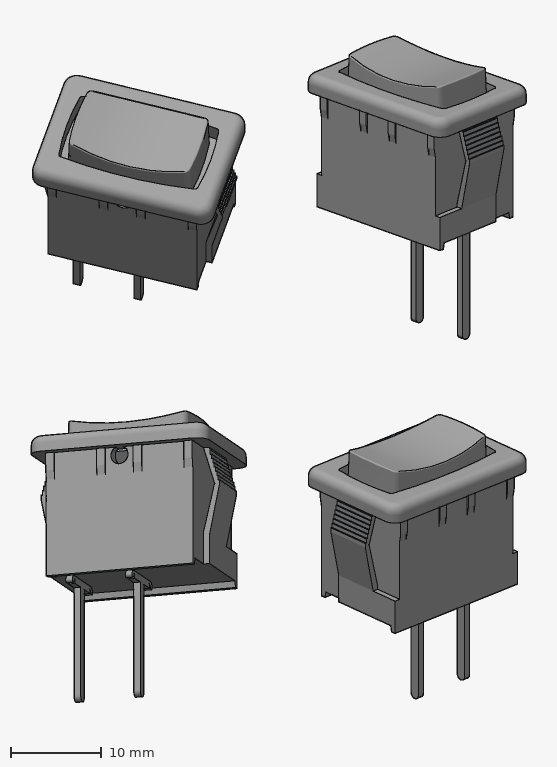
import cadquery as cq
import math


OVERALL_HEIGHT = 31.2

BEZEL_X = 20.8
BEZEL_Y = 14.8
BEZEL_HEIGHT = 2.0
BEZEL_CORNER_RADIUS = 1.5
BEZEL_EDGE_RADIUS = 1.0

WELL_HALF_X = 8.3
WELL_HALF_Y = 4.87
WELL_CORNER_X = 7.95
WELL_CORNER_Y = 4.27
WELL_CORNER_RADIUS = 0.4

ROCKER_HALF_X = 7.3
ROCKER_HALF_Y = 4.6
ROCKER_CORNER_X = 7.02
ROCKER_CORNER_Y = 3.95
ROCKER_CORNER_RADIUS = 0.7
ROCKER_DRAFT = 1.6
ROCKER_EDGE_RADIUS = 0.15
ROCKER_TOP = 4.27
ROCKER_DIP = 0.97

BODY_X = 17.2
BODY_Y = 12.6
BODY_BOTTOM = -13.23
FOOT_HEIGHT = 0.72
FOOT_TIP = 0.55
FOOT_ROOT = 0.72

RIB_WIDTH = 1.0
RIB_DEPTH = 0.2
RIB_STRAIGHT = 2.0
RIB_LENGTH = 3.0
INNER_RIB_X = 2.15

RECESS_DIAMETER = 2.0
RECESS_Z = -0.9
RECESS_DEPTH = 0.95
RECESS_SLOPE_TOP = -0.25

CLIP_WIDTH = 5.55
PLATE_THICKNESS = 0.7
PLATE_TOP = -9.98
CLIP_TOP_X = 9.27
CLIP_SPAN_X = 20.95
CLIP_INNER_PEAK_X = 9.9
CLIP_INNER_PEAK_Z = -4.15
CLIP_INNER_BOTTOM_Z = -9.58
STEP_COUNT = 8
STEP_START = -0.28
STEP_HEIGHT = 0.5
STEP_RUN = 0.15

TERMINAL_XS = (-7.0, 0)
TERMINAL_THICKNESS = 0.78
PIN_WIDTH = 1.2
SHOULDER_WIDTH = 4.85
SHOULDER_BOTTOM = -14.07
WING_WIDTH = 0.6
WING_ROOT = (2.15, -12.8)
WING_TIP = (3.03, -13.8)

OVERLAP = 0.62

body_half_x = BODY_X / 2
body_half_y = BODY_Y / 2
feet_bottom = BODY_BOTTOM - FOOT_HEIGHT


def block(x0, x1, y0, y1, z0, z1):
    return cq.Workplane("XY").box(x1 - x0, y1 - y0, z1 - z0, centered=False).translate((x0, y0, z0))


def along_x(points, x0, x1):
    """Extrude a closed (y, z) outline from x0 to x1."""
    return cq.Workplane("YZ").workplane(offset=x0).polyline(points).close().extrude(x1 - x0)


def along_y(points, y0, y1):
    """Extrude a closed (x, z) outline from y0 to y1."""
    return cq.Workplane("XZ").workplane(offset=-y1).polyline(points).close().extrude(y1 - y0)


def barrel_outline(half_x, half_y, corner_x, corner_y):
    """Rectangle with four outward bowed sides, drawn at Z = 0."""
    return (
        cq.Workplane("XY")
        .moveTo(-corner_x, -corner_y)
        .threePointArc((0, -half_y), (corner_x, -corner_y))
        .threePointArc((half_x, 0), (corner_x, corner_y))
        .threePointArc((0, half_y), (-corner_x, corner_y))
        .threePointArc((-half_x, 0), (-corner_x, -corner_y))
        .close()
    )


def make_bezel():
    plate = block(-BEZEL_X / 2, BEZEL_X / 2, -BEZEL_Y / 2, BEZEL_Y / 2, 0, BEZEL_HEIGHT)
    plate = plate.edges("|Z").fillet(BEZEL_CORNER_RADIUS).faces(">Z").edges().fillet(BEZEL_EDGE_RADIUS)
    well = barrel_outline(WELL_HALF_X, WELL_HALF_Y, WELL_CORNER_X, WELL_CORNER_Y).extrude(BEZEL_HEIGHT)
    return plate.cut(well.edges("|Z").fillet(WELL_CORNER_RADIUS))


def make_rocker():
    outline = barrel_outline(ROCKER_HALF_X, ROCKER_HALF_Y, ROCKER_CORNER_X, ROCKER_CORNER_Y)
    rocker = outline.extrude(ROCKER_TOP + OVERLAP, taper=ROCKER_DRAFT)
    rocker = rocker.edges("not(<Z or >Z)").fillet(ROCKER_CORNER_RADIUS)
    end_x = ROCKER_HALF_X - ROCKER_TOP * math.tan(math.radians(ROCKER_DRAFT))
    dish_radius = (end_x**2 + ROCKER_DIP**2) / (2 * ROCKER_DIP)
    dish = (
        cq.Workplane("XZ")
        .center(0, ROCKER_TOP - ROCKER_DIP + dish_radius)
        .circle(dish_radius)
        .extrude(BODY_Y, both=True)
    )
    rocker = rocker.cut(dish)
    thumb_face = rocker.faces(cq.NearestToPointSelector((0, 0, ROCKER_TOP - ROCKER_DIP)))
    return thumb_face.edges().fillet(ROCKER_EDGE_RADIUS)


def make_housing():
    housing = block(-body_half_x, body_half_x, -body_half_y, body_half_y, BODY_BOTTOM, 0)
    for side in (-1, 1):
        foot = [
            (side * body_half_y, BODY_BOTTOM + OVERLAP),
            (side * body_half_y, feet_bottom),
            (side * (body_half_y - FOOT_TIP), feet_bottom),
            (side * (body_half_y - FOOT_ROOT), BODY_BOTTOM),
            (side * (body_half_y - FOOT_ROOT), BODY_BOTTOM + OVERLAP),
        ]
        half_length = body_half_x + (PLATE_THICKNESS if side > 0 else 0)
        housing = housing.union(along_x(foot, -half_length, half_length))
    return housing


def make_ribs():
    ribs = cq.Workplane("XY")
    outer_rib_x = body_half_x - RIB_WIDTH / 2
    for side in (-1, 1):
        profile = [
            (side * (body_half_y - OVERLAP), 0),
            (side * (body_half_y + RIB_DEPTH), 0),
            (side * (body_half_y + RIB_DEPTH), -RIB_STRAIGHT),
            (side * body_half_y, -RIB_LENGTH),
            (side * (body_half_y - OVERLAP), -RIB_LENGTH),
        ]
        for x in (-outer_rib_x, -INNER_RIB_X, INNER_RIB_X, outer_rib_x):
            ribs = ribs.union(along_x(profile, x - RIB_WIDTH / 2, x + RIB_WIDTH / 2))
    return ribs


def make_recess():
    slope_depth = RECESS_DIAMETER
    floor_y = -body_half_y + RECESS_DEPTH
    radius = RECESS_DIAMETER / 2
    hole = (
        cq.Workplane("XZ", origin=(0, -body_half_y, RECESS_Z))
        .circle(radius)
        .extrude(-RECESS_DEPTH - slope_depth)
    )
    side_profile = [
        (-body_half_y, 0),
        (floor_y, 0),
        (floor_y, RECESS_SLOPE_TOP),
        (floor_y + slope_depth, RECESS_SLOPE_TOP - slope_depth),
        (-body_half_y, RECESS_SLOPE_TOP - slope_depth),
    ]
    return hole.intersect(along_x(side_profile, -radius, radius))


def make_clip():
    """Spring clip and plate on the +X side."""
    root_x = body_half_x - OVERLAP
    plate_x = body_half_x + PLATE_THICKNESS
    outline = [(body_half_x, 0), (CLIP_TOP_X, 0)]
    for step in range(STEP_COUNT):
        face_x = CLIP_SPAN_X / 2 - (STEP_COUNT - 1 - step) * STEP_RUN
        step_top = STEP_START - step * STEP_HEIGHT
        outline += [(face_x, step_top), (face_x, step_top - STEP_HEIGHT)]
    outline += [
        (plate_x, PLATE_TOP),
        (body_half_x, PLATE_TOP),
        (body_half_x, CLIP_INNER_BOTTOM_Z),
        (CLIP_INNER_PEAK_X, CLIP_INNER_PEAK_Z),
    ]
    spring = along_y(outline, -CLIP_WIDTH / 2, CLIP_WIDTH / 2)
    plate = block(root_x, plate_x, -CLIP_WIDTH / 2, body_half_y, BODY_BOTTOM, PLATE_TOP)
    return spring.union(plate)


def make_terminal(x, bottom):
    x0 = x - TERMINAL_THICKNESS / 2
    x1 = x + TERMINAL_THICKNESS / 2
    root_z = BODY_BOTTOM + OVERLAP
    pin = block(x0, x1, -PIN_WIDTH / 2, PIN_WIDTH / 2, bottom + PIN_WIDTH / 2, root_z)
    tip = (
        cq.Workplane("YZ", origin=(x0, 0, bottom + PIN_WIDTH / 2))
        .circle(PIN_WIDTH / 2)
        .extrude(TERMINAL_THICKNESS)
    )
    shoulder = block(x0, x1, -SHOULDER_WIDTH / 2, SHOULDER_WIDTH / 2, SHOULDER_BOTTOM, root_z)
    terminal = pin.union(tip).union(shoulder)

    run = WING_TIP[0] - WING_ROOT[0]
    drop = WING_TIP[1] - WING_ROOT[1]
    middle_y = (WING_ROOT[0] + WING_TIP[0]) / 2
    middle_z = (WING_ROOT[1] + WING_TIP[1]) / 2
    length = math.hypot(run, drop) + WING_WIDTH
    for side in (-1, 1):
        angle = math.degrees(math.atan2(drop, side * run))
        wing = (
            cq.Workplane("YZ", origin=(x0, side * middle_y, middle_z))
            .slot2D(length, WING_WIDTH, angle)
            .extrude(TERMINAL_THICKNESS)
        )
        terminal = terminal.union(wing)
    return terminal


rocker_cap = make_rocker()
clip = make_clip()
terminal_bottom = rocker_cap.val().BoundingBox().zmax - OVERALL_HEIGHT
result = make_housing().union(make_ribs()).union(make_bezel()).union(rocker_cap)
result = result.union(clip).union(clip.mirror("YZ"))
for terminal_x in TERMINAL_XS:
    result = result.union(make_terminal(terminal_x, terminal_bottom))
result = result.cut(make_recess())